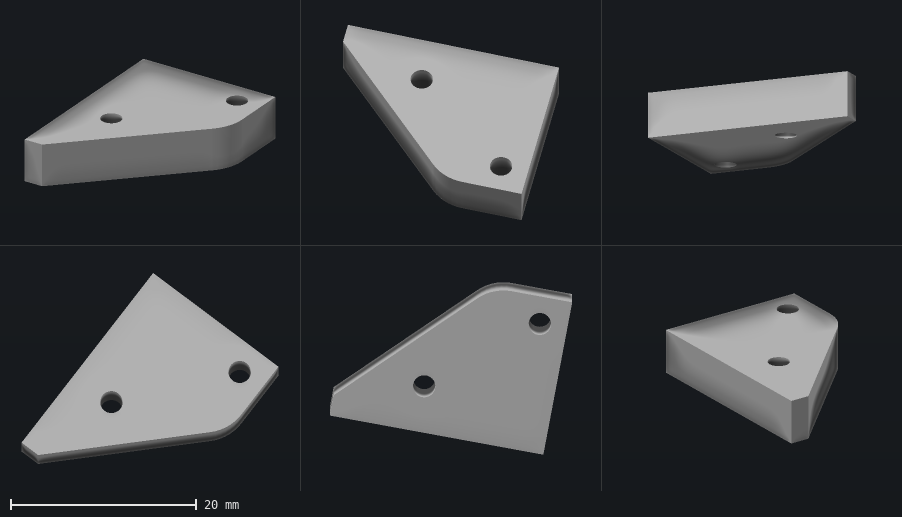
import cadquery as cq

width = 16.96
length = 23.4
thickness = 5.0

tip_width = 2.25
corner_radius = 5.0
slope_rise = width - tip_width

hole_diameter = 2.4
near_offset = 3.0
far_offset = 14.0
lower_hole_x = 5.0
hole_centers = [
    (far_offset, length - near_offset),
    (lower_hole_x, length - far_offset),
]


def make_plate():
    """Tapered plate with its sharp corner on the +X side rounded."""
    plate = (
        cq.Workplane("XY")
        .moveTo(0, 0)
        .lineTo(tip_width, 0)
        .lineTo(width, slope_rise)
        .lineTo(width, length)
        .lineTo(0, length)
        .close()
        .extrude(thickness)
    )
    rounded_corner = cq.selectors.NearestToPointSelector((width, slope_rise, thickness / 2))
    return plate.edges("|Z").edges(rounded_corner).fillet(corner_radius)


def make_holes():
    """Cylinders that cut the two holes through the full thickness."""
    return cq.Workplane("XY").pushPoints(hole_centers).circle(hole_diameter / 2).extrude(thickness)


result = make_plate().cut(make_holes())